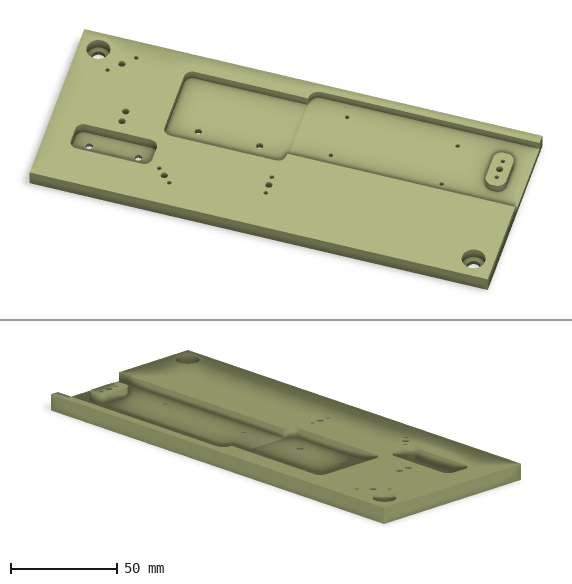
import cadquery as cq
import math

LENGTH = 225.0
WIDTH = 90.0
THICKNESS = 8.0

MOUNT_INSET = 10.0
MOUNT_DIAMETER = 6.5
COUNTERBORE_DIAMETER = 11.2
COUNTERBORE_DEPTH = 5.6

CHANNEL_START = 113.0
CHANNEL_WIDTH = 40.0
CHANNEL_REAR_WALL = 4.5
CHANNEL_DEPTH = 4.5
CHANNEL_RADIUS = 5.0
CHANNEL_CENTER_Y = WIDTH - CHANNEL_REAR_WALL - CHANNEL_WIDTH / 2

POCKET_LENGTH = 59.8
POCKET_WIDTH = 40.0
POCKET_FRONT_Y = 40.0
POCKET_DEPTH = 5.0
POCKET_RADIUS = 4.0
POCKET_CENTER_X = CHANNEL_START - POCKET_LENGTH / 2
POCKET_CENTER_Y = POCKET_FRONT_Y + POCKET_WIDTH / 2

RECESS_LENGTH = 40.0
RECESS_WIDTH = 15.0
RECESS_CENTER = (33.0, 27.7)
RECESS_DEPTH = 6.0
RECESS_RADIUS = 4.0

ISLAND_LENGTH = 20.0
ISLAND_WIDTH = 10.0
ISLAND_RADIUS = 4.0
ISLAND_CENTER = (211.5, 65.0)

HOLE_DIAMETER = 3.4
POCKET_HOLE_SPACING = 30.2
POCKET_HOLE_Y = 50.0
RECESS_HOLE_SPACING = 24.0
PAIR_CENTER = (32.8, 45.0)
PAIR_SPACING = 6.0

PIN_DIAMETER = 2.1
PIN_DEPTH = 4.0
CHANNEL_PIN_CENTER = (159.8, 65.0)
CHANNEL_PIN_SPACING = (55.0, 24.0)
CHANNEL_PIN_ANGLE = -1.8

PIN_OFFSET = 5.0
WIDE_PIN_OFFSET = 7.6
TRIOS = [
    ((23.0, 75.0), WIDE_PIN_OFFSET, 45),
    ((61.2, 16.5), PIN_OFFSET, -45),
    ((110.0, 25.0), PIN_OFFSET, 90),
    (ISLAND_CENTER, PIN_OFFSET, 90),
]


def block_from_top(length, width, depth, center):
    """Rectangular block reaching down from the top face."""
    return (
        cq.Workplane("XY", origin=(*center, THICKNESS - depth))
        .rect(length, width)
        .extrude(depth)
    )


def drill(body, points, diameter, depth=THICKNESS):
    """Cut flat-bottomed round holes down from the top face."""
    holes = (
        cq.Workplane("XY", origin=(0, 0, THICKNESS - depth))
        .pushPoints(points)
        .circle(diameter / 2)
        .extrude(depth)
    )
    return body.cut(holes)


def opposite_points(center, offset, angle):
    """Two points on opposite sides of a center, along a direction."""
    dx = offset * math.cos(math.radians(angle))
    dy = offset * math.sin(math.radians(angle))
    return [(center[0] + side * dx, center[1] + side * dy) for side in (-1, 1)]


def make_channel():
    """Channel volume with a rounded rear start corner and the island left out."""
    length = LENGTH - CHANNEL_START
    center_x = CHANNEL_START + length / 2
    channel = block_from_top(length, CHANNEL_WIDTH, CHANNEL_DEPTH, (center_x, CHANNEL_CENTER_Y))
    channel = channel.edges("|Z and <X and >Y").fillet(CHANNEL_RADIUS)
    island = block_from_top(ISLAND_WIDTH, ISLAND_LENGTH, CHANNEL_DEPTH, ISLAND_CENTER)
    return channel.cut(island.edges("|Z").fillet(ISLAND_RADIUS))


def make_pocket():
    """Large pocket volume, square only where it meets the channel's rear side."""
    pocket = block_from_top(
        POCKET_LENGTH, POCKET_WIDTH, POCKET_DEPTH, (POCKET_CENTER_X, POCKET_CENTER_Y)
    )
    return pocket.edges("|Z and (<X or <Y)").fillet(POCKET_RADIUS)


def make_recess():
    """Small pocket volume with four rounded corners."""
    recess = block_from_top(RECESS_LENGTH, RECESS_WIDTH, RECESS_DEPTH, RECESS_CENTER)
    return recess.edges("|Z").fillet(RECESS_RADIUS)


plate = cq.Workplane("XY").box(LENGTH, WIDTH, THICKNESS, centered=False)
plate = plate.cut(make_channel()).cut(make_pocket()).cut(make_recess())

mounts = [(MOUNT_INSET, WIDTH - MOUNT_INSET), (LENGTH - MOUNT_INSET, MOUNT_INSET)]
plate = drill(plate, mounts, MOUNT_DIAMETER)
plate = drill(plate, mounts, COUNTERBORE_DIAMETER, COUNTERBORE_DEPTH)

pocket_hole_center = (POCKET_CENTER_X, POCKET_HOLE_Y)
plate = drill(plate, opposite_points(pocket_hole_center, POCKET_HOLE_SPACING / 2, 0), HOLE_DIAMETER)
plate = drill(plate, opposite_points(RECESS_CENTER, RECESS_HOLE_SPACING / 2, 0), HOLE_DIAMETER)
plate = drill(plate, opposite_points(PAIR_CENTER, PAIR_SPACING / 2, 90), HOLE_DIAMETER)

columns = opposite_points(CHANNEL_PIN_CENTER, CHANNEL_PIN_SPACING[0] / 2, CHANNEL_PIN_ANGLE)
for column in columns:
    pins = opposite_points(column, CHANNEL_PIN_SPACING[1] / 2, CHANNEL_PIN_ANGLE + 90)
    plate = drill(plate, pins, PIN_DIAMETER)

for trio_center, pin_offset, trio_angle in TRIOS:
    plate = drill(plate, [trio_center], HOLE_DIAMETER)
    plate = drill(plate, opposite_points(trio_center, pin_offset, trio_angle), PIN_DIAMETER, PIN_DEPTH)

result = plate